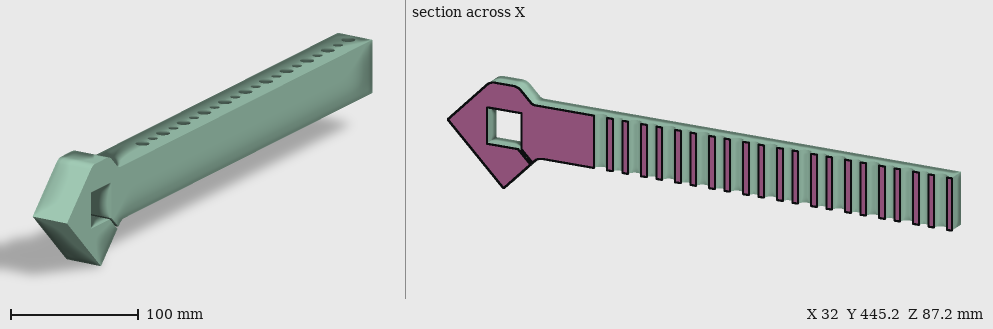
import cadquery as cq
import math

width = 32.0
head_side_distance = 35.0
head_front_distance = 36.0
head_top = 37.0
flat_rear = 12.0
head_round = 10.0
upper_neck_round = 6.0
lower_neck_round = 10.0
bar_end = 395.0
bar_top = 24.0
bar_bottom = -20.0
window_size = 30.0
slit_width = 2.0
large_diameter = 11.0
small_diameter = 8.0
large_count = 11
hole_pitch = 30.0
end_margin = 10.0

side_offset = head_side_distance * math.sqrt(2)
front_offset = head_front_distance * math.sqrt(2)
nose = (-(front_offset + side_offset) / 2, (side_offset - front_offset) / 2)
chin = ((side_offset - front_offset) / 2, -(front_offset + side_offset) / 2)
flat_front_corner = (head_top - side_offset, head_top)
flat_rear_corner = (flat_rear, head_top)
upper_neck = (flat_rear + head_top - bar_top, bar_top)
lower_neck = (side_offset + bar_bottom, bar_bottom)


def round_corner(body, corner, radius):
    """Round the edge along X that passes through a (Y, Z) corner."""
    edge = cq.selectors.NearestToPointSelector((0, *corner))
    return body.edges(edge).fillet(radius)


def make_body():
    """Head and bar as one prism across the full width."""
    outline = [
        nose,
        chin,
        lower_neck,
        (bar_end, bar_bottom),
        (bar_end, bar_top),
        upper_neck,
        flat_rear_corner,
        flat_front_corner,
    ]
    profile = cq.Workplane("YZ").workplane(offset=-width / 2)
    body = profile.polyline(outline).close().extrude(width)
    body = round_corner(body, flat_front_corner, head_round)
    body = round_corner(body, flat_rear_corner, head_round)
    body = round_corner(body, upper_neck, upper_neck_round)
    return round_corner(body, lower_neck, lower_neck_round)


def make_window():
    return cq.Workplane("XY").box(width, window_size, window_size)


def make_slit():
    """Diagonal cut from the window out through the lower rear side.

    Its upper wall lies on the window's diagonal.
    """
    slit_length = 2 * head_side_distance
    slit = cq.Workplane("XY").box(width, slit_length, slit_width, centered=(True, False, True))
    slit = slit.translate((0, 0, -slit_width / 2))
    return slit.rotate((0, 0, 0), (1, 0, 0), -45)


def make_holes(diameter, first_y, count):
    """Row of vertical holes through the bar, stepping towards the head."""
    centers = [(0, first_y - index * hole_pitch) for index in range(count)]
    base = cq.Workplane("XY").workplane(offset=bar_bottom)
    return base.pushPoints(centers).circle(diameter / 2).extrude(bar_top - bar_bottom)


first_large_y = bar_end - end_margin
first_small_y = first_large_y - hole_pitch / 2
small_count = large_count - 1

result = make_body()
result = result.cut(make_window())
result = result.cut(make_slit())
result = result.cut(make_holes(large_diameter, first_large_y, large_count))
result = result.cut(make_holes(small_diameter, first_small_y, small_count))